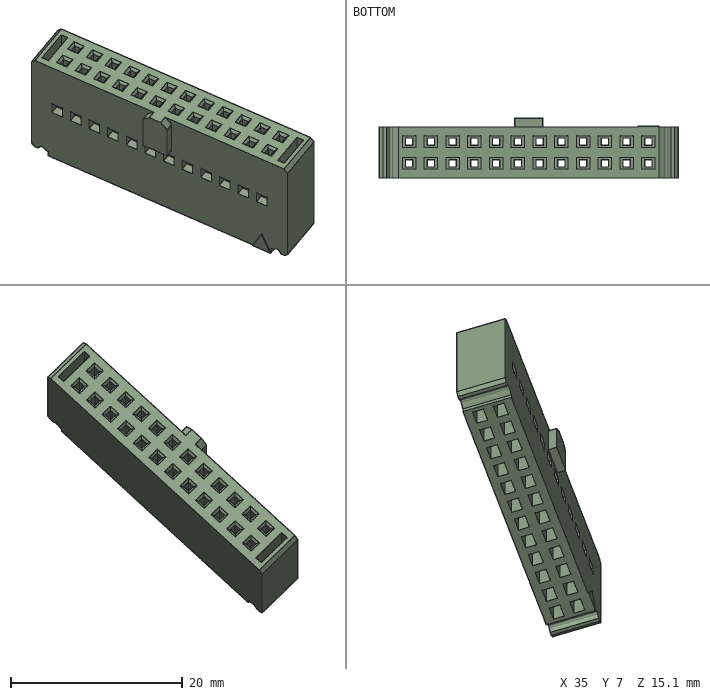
import cadquery as cq

length = 34.98
overall_depth = 7.0
body_depth = 5.98
height = 15.1
top_chamfer = 0.5
half_length = length / 2
front_y = -body_depth

columns = 12
row_span = 27.95
pitch = row_span / (columns - 1)
column_xs = [column * pitch - row_span / 2 for column in range(columns)]
row_ys = [-body_depth / 2 - pitch / 2, -body_depth / 2 + pitch / 2]

entry_width = 1.4
entry_depth = 0.3
pin_width = 0.8
cavity_size_x = 1.57
cavity_size_y = 1.33

window_width = 1.45
window_height = 1.47
window_mid_z = 8.33
window_top = window_mid_z + window_height / 2

slot_width = 0.87
slot_length = 4.35
slot_depth = 3.5
slot_mid_x = half_length - 1.4

key_width = 3.3
key_height = 5.15
key_depth = overall_depth - body_depth
key_chamfer_x = 0.87
key_chamfer_z = 0.75

foot_side_z = 0.9
foot_bottom_z = 0.52
foot_outer = 0.45
foot_inner = 0.87
notch_arc_start = (1.22, 0.98)
notch_arc_top = (1.4, 1.1)
notch_arc_end = (1.57, 1.0)
notch_end = 2.27
notch_end_z = 0.63

mark_width = 2.45
mark_height = 2.55
mark_depth = 0.1


def front_plane(y):
    """Sketch plane facing -Y, with its local axes along X and Z."""
    return cq.Workplane("XZ", origin=(0, y, 0))


def make_body():
    """Half outline, extruded through the depth and mirrored about X = 0."""
    half = (
        front_plane(0)
        .moveTo(0, 0)
        .lineTo(half_length - notch_end, 0)
        .lineTo(half_length - notch_end, notch_end_z)
        .lineTo(half_length - notch_arc_end[0], notch_arc_end[1])
        .threePointArc(
            (half_length - notch_arc_top[0], notch_arc_top[1]),
            (half_length - notch_arc_start[0], notch_arc_start[1]),
        )
        .lineTo(half_length - foot_inner, foot_bottom_z)
        .lineTo(half_length - foot_outer, foot_bottom_z)
        .lineTo(half_length, foot_side_z)
        .lineTo(half_length, height - top_chamfer)
        .lineTo(half_length - top_chamfer, height)
        .lineTo(0, height)
        .close()
        .extrude(body_depth)
    )
    return half.union(half.mirror("YZ"))


def make_key():
    """Key with its two top corners cut off."""
    half_width = key_width / 2
    shoulder_z = height - key_chamfer_z
    outline = [
        (-half_width, height - key_height),
        (half_width, height - key_height),
        (half_width, shoulder_z),
        (half_width - key_chamfer_x, height),
        (-half_width + key_chamfer_x, height),
        (-half_width, shoulder_z),
    ]
    return front_plane(front_y).polyline(outline).close().extrude(key_depth)


def make_mark():
    """Triangle standing on the base edge below the last column."""
    outline = [
        (column_xs[-1] - mark_width / 2, 0),
        (column_xs[-1] + mark_width / 2, 0),
        (column_xs[-1], mark_height),
    ]
    return front_plane(front_y).polyline(outline).close().extrude(mark_depth)


def make_contact_holes():
    """Tapered entry, square pin hole and contact cavity at every grid point."""
    points = [(x, y) for x in column_xs for y in row_ys]
    pins = cq.Workplane("XY").pushPoints(points).rect(pin_width, pin_width).extrude(height)
    cavities = cq.Workplane("XY").pushPoints(points).rect(cavity_size_x, cavity_size_y).extrude(window_top)
    entry = (
        cq.Workplane("XY", origin=(0, 0, height))
        .rect(entry_width, entry_width)
        .workplane(offset=-entry_depth)
        .rect(pin_width, pin_width)
        .loft()
        .val()
    )
    entries = cq.Workplane("XY").pushPoints(points).eachpoint(lambda place: entry.moved(place))
    return pins.union(cavities).union(entries)


def make_windows():
    """Front windows, each ending where it meets its contact cavity."""
    points = [(x, window_mid_z) for x in column_xs]
    window_depth = row_ys[0] - cavity_size_y / 2 - front_y
    return (
        front_plane(front_y + window_depth)
        .pushPoints(points)
        .rect(window_width, window_height)
        .extrude(window_depth)
    )


def make_slots():
    """Blind slots at both ends of the top face."""
    return (
        cq.Workplane("XY", origin=(0, -body_depth / 2, height))
        .pushPoints([(-slot_mid_x, 0), (slot_mid_x, 0)])
        .rect(slot_width, slot_length)
        .extrude(-slot_depth)
    )


result = (
    make_body()
    .union(make_key())
    .union(make_mark())
    .cut(make_contact_holes())
    .cut(make_windows())
    .cut(make_slots())
)